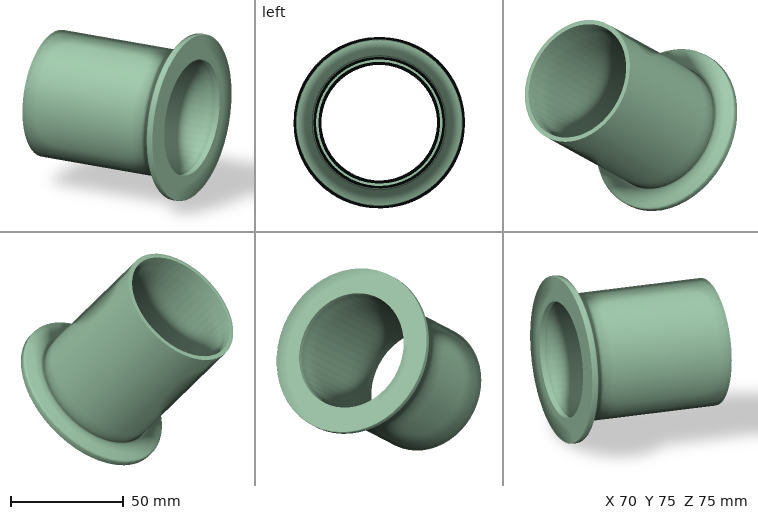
import cadquery as cq
import math

total_length = 70.0
flange_radius = 37.5
flange_thickness = 5.0
flange_back = total_length - flange_thickness

tube_radius = 28.5
tube_bore_radius = 26.5

flange_bore_radius = 26.1
socket_clearance = 0.15
socket_radius = tube_radius + socket_clearance
socket_depth = flange_thickness / 2
cone_start_radius = 29.7
cone_angle = 15.0
back_fillet = 1.0
front_chamfer = 0.2


def revolve_about_x(profile):
    """Turn a closed (x, radius) profile in the XY plane around the X axis."""
    return profile.revolve(360, (0, 0, 0), (1, 0, 0))


def make_tube():
    """Plain tube whose end rests on the floor of the flange socket."""
    tube_length = flange_back + socket_depth
    return cq.Workplane("YZ").circle(tube_radius).circle(tube_bore_radius).extrude(tube_length)


def make_flange():
    """Flange with a conical back, a rounded rim and a socket for the tube."""
    cone_depth = (flange_radius - cone_start_radius) * math.tan(math.radians(cone_angle))
    rim_back = flange_back + cone_depth
    socket_floor = flange_back + socket_depth
    profile = (
        cq.Workplane("XY")
        .moveTo(flange_back, socket_radius)
        .lineTo(flange_back, cone_start_radius)
        .lineTo(rim_back, flange_radius)
        .lineTo(total_length, flange_radius)
        .lineTo(total_length, flange_bore_radius)
        .lineTo(socket_floor, flange_bore_radius)
        .lineTo(socket_floor, socket_radius)
        .close()
    )
    flange = revolve_about_x(profile)
    selection_margin = 0.1
    selection_reach = flange_radius + selection_margin
    back_rim_edge = cq.selectors.BoxSelector(
        (rim_back - selection_margin, -selection_reach, -selection_reach),
        (rim_back + selection_margin, selection_reach, selection_reach),
    )
    flange = flange.edges(back_rim_edge).fillet(back_fillet)
    return flange.faces(">X").edges(cq.selectors.RadiusNthSelector(-1)).chamfer(front_chamfer)


tube = make_tube()
flange = make_flange()

result = cq.Compound.makeCompound([tube.val(), flange.val()])